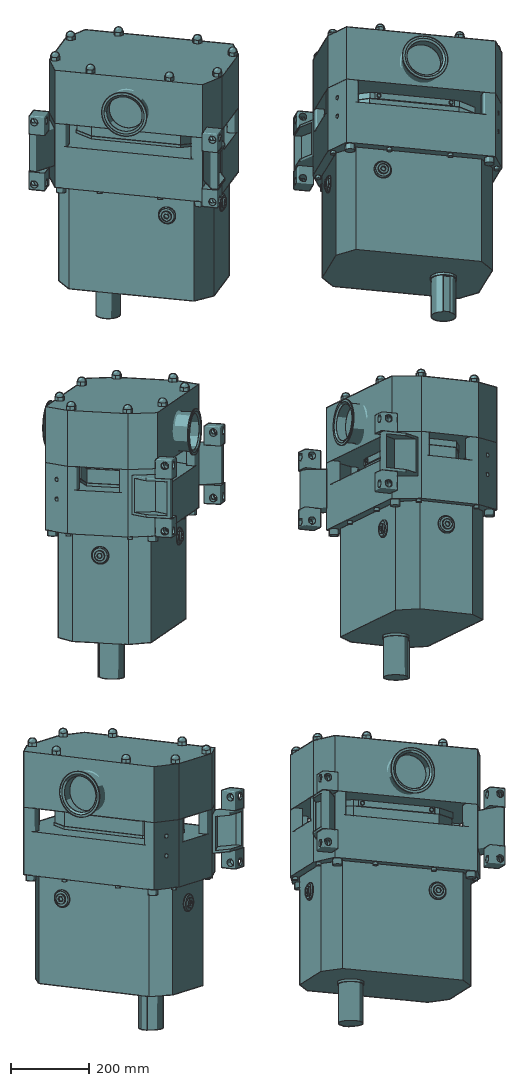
import cadquery as cq
import math


gearbox_bottom = 109.0
frame_bottom = 394.0
window_sill = 508.5
head_bottom = 570.0
head_top = 715.5
total_height = 736.0

body_half_x = 229.0
body_half_y = 149.0
body_flat_x = 196.0
body_flat_y = 80.0
chamfer_length = math.hypot(body_half_x - body_flat_x, body_half_y - body_flat_y)
chamfer_normal_x = (body_half_y - body_flat_y) / chamfer_length
chamfer_normal_y = (body_half_x - body_flat_x) / chamfer_length

port_height = 631.0
port_end = 194.0
port_radius = 51.0
port_bore_radius = 47.0
port_bore_depth = 29.5
port_mouth_radius = 53.0
port_mouth_depth = 4.0
port_root_fillet = 6.0
port_flange_radius = 59.5
port_flange_rim = 3.0
port_flange_taper = 4.0

nut_corner_diameter = 25.0
nut_hex_height = 9.5
nut_dome_radius = total_height - head_top - nut_hex_height
end_row_x = 215.0
side_row_y = 137.0
cap_nut_places = [(104.5, side_row_y), (end_row_x, 75.0)]

frame_wall = 23.5
window_half_x = 163.5
window_half_y = 55.0
window_rounding = 7.0
jamb_search = 1.0
core_half_x = 165.0
core_half_y = 76.5
core_flat_x = 118.0
core_flat_y = 47.0
core_step = 2.0
plinth_height = 7.0
core_cap_height = 16.0
pad_half_x = 104.5
pad_thickness = 2.0
pad_screw_x = 95.0
pad_screw_radius = 5.0
pad_screw_length = 4.0

corner_bolt_place = (183.0, 133.0)
corner_bolt_radius = 12.5
corner_bolt_length = 15.5
small_bolt_places = [(80.0, side_row_y), (end_row_x, 82.0)]
small_bolt_radius = 6.5
small_bolt_length = 7.0
mount_hole_heights = (479.0, 531.0)
mount_hole_radius = 5.0
mount_hole_depth = 15.0

gearbox_half_x = 206.0
gearbox_half_y = 124.0
gearbox_flat_x = 165.5
gearbox_flat_y = 74.0
shaft_x = -95.0
shaft_radius = 32.0
seal_radius = 34.0
seal_length = 6.5
key_width = 18.0
key_top = 98.5
key_projection = 3.0

plug_height = 338.0
plug_x = 95.0
plug_radius = 23.0
plug_flange_thickness = 5.0
plug_chamfer = 3.0
plug_boss_radius = 13.0
plug_projection = 9.5
plug_socket_diameter = 14.0
plug_socket_depth = 4.5

bracket_middle = 503.5
bracket_height = 103.0
bracket_span = 501.0
bracket_outer_x = bracket_span / 2
bracket_tip_y = -89.0
bracket_shoulder_y = -134.0
bracket_heel_y = -146.5
bracket_front_y = -199.5
bracket_toe_x = 231.0
bracket_lip_y = -189.0
bracket_plate = 7.0
bracket_front_rounding = 4.5
bracket_edge_rounding = 2.0
block_width = 43.0
block_back_y = -157.5
block_front_y = -203.0
block_height = 50.0
block_rounding = 4.0
block_hole_radius = 9.5
block_hole_x = 236.0
block_hole_y = -183.0
block_hole_rise = 85.5


def octagon_prism(half_x, half_y, flat_x, flat_y, bottom, top):
    """Upright prism with a chamfered rectangle as its outline."""
    corner = [(half_x, flat_y), (flat_x, half_y)]
    points = corner + [(-x, y) for x, y in reversed(corner)]
    points += [(-x, -y) for x, y in points]
    return cq.Workplane("XY").workplane(offset=bottom).polyline(points).close().extrude(top - bottom)


def four_corners(places):
    """Repeat places of the first quadrant in all four quadrants."""
    return [(sx * x, sy * y) for x, y in places for sx in (1, -1) for sy in (1, -1)]


def box_between(low, high):
    sizes = [b - a for a, b in zip(low, high)]
    return cq.Workplane("XY").box(*sizes, centered=False).translate(low)


def spin_about_y(profile):
    """Solid of revolution about the Y axis from a closed profile in the XY plane."""
    return profile.close().revolve(360, (0, 0, 0), (0, 1, 0))


def port():
    """Clamp-flanged pipe stub pointing toward +Y, centred on the Y axis."""
    rim_start = port_end - port_flange_rim
    root_sag = port_root_fillet * (1 - math.sqrt(0.5))
    profile = (
        cq.Workplane("XY")
        .moveTo(0, body_half_y)
        .lineTo(port_radius + port_root_fillet, body_half_y)
        .threePointArc(
            (port_radius + root_sag, body_half_y + root_sag),
            (port_radius, body_half_y + port_root_fillet),
        )
        .lineTo(port_radius, rim_start - port_flange_taper)
        .lineTo(port_flange_radius, rim_start)
        .lineTo(port_flange_radius, port_end)
        .lineTo(port_mouth_radius, port_end)
        .lineTo(port_bore_radius, port_end - port_mouth_depth)
        .lineTo(port_bore_radius, port_end - port_bore_depth)
        .lineTo(0, port_end - port_bore_depth)
    )
    return spin_about_y(profile)


def cap_nuts():
    nuts = (
        cq.Workplane("XY").workplane(offset=head_top)
        .pushPoints(four_corners(cap_nut_places)).polygon(6, nut_corner_diameter).extrude(nut_hex_height)
    )
    for x, y in four_corners(cap_nut_places):
        dome = cq.Workplane("XY").sphere(nut_dome_radius, angle1=0)
        nuts = nuts.union(dome.translate((x, y, head_top + nut_hex_height)))
    return nuts


def make_head():
    head = octagon_prism(body_half_x, body_half_y, body_flat_x, body_flat_y, head_bottom, head_top)
    for angle in (0, 180):
        head = head.union(port().rotate((0, 0, 0), (0, 0, 1), angle).translate((0, 0, port_height)))
    return head.union(cap_nuts())


def frame_shell():
    """Hollow frame, open at the top, with a window in each of its four sides."""
    shell = octagon_prism(body_half_x, body_half_y, body_flat_x, body_flat_y, frame_bottom, head_bottom)
    flat_shift_x = frame_wall * (1 - chamfer_normal_y) / chamfer_normal_x
    flat_shift_y = frame_wall * (1 - chamfer_normal_x) / chamfer_normal_y
    cavity = octagon_prism(
        body_half_x - frame_wall, body_half_y - frame_wall,
        body_flat_x - flat_shift_x, body_flat_y - flat_shift_y,
        window_sill, head_bottom,
    )
    front_window = box_between(
        (-window_half_x, -body_half_y, window_sill), (window_half_x, body_half_y, head_bottom)
    )
    side_window = box_between(
        (-body_half_x, -window_half_y, window_sill), (body_half_x, window_half_y, head_bottom)
    )
    shell = shell.cut(cavity).cut(front_window).cut(side_window)
    for x, y in four_corners([(window_half_x, body_half_y), (body_half_x, window_half_y)]):
        jamb = cq.selectors.BoxSelector(
            (x - jamb_search, y - jamb_search, window_sill), (x + jamb_search, y + jamb_search, head_bottom)
        )
        shell = shell.edges("|Z").edges(jamb).fillet(window_rounding)
    return shell


def core_layer(step, bottom, top):
    return octagon_prism(
        core_half_x + step, core_half_y + step, core_flat_x, core_flat_y, bottom, top
    )


def frame_core():
    """Stepped block inside the frame, with a screwed pad on its front and back."""
    cap_bottom = head_bottom - core_cap_height
    core = core_layer(0, window_sill, head_bottom)
    core = core.union(core_layer(core_step, window_sill, window_sill + plinth_height))
    core = core.union(core_layer(core_step, cap_bottom, head_bottom))
    pad_y = core_half_y + core_step + pad_thickness
    core = core.union(box_between((-pad_half_x, -pad_y, cap_bottom), (pad_half_x, pad_y, head_bottom)))
    screw_reach = pad_y + pad_screw_length
    for x in (-pad_screw_x, pad_screw_x):
        screw = (
            cq.Workplane("XZ").center(x, head_bottom - core_cap_height / 2)
            .circle(pad_screw_radius).extrude(screw_reach, both=True)
        )
        core = core.union(screw)
    return core


def bolts_below(places, radius, length):
    """Bolt heads hanging under the frame."""
    return (
        cq.Workplane("XY").workplane(offset=frame_bottom)
        .pushPoints(four_corners(places)).circle(radius).extrude(-length)
    )


def mount_holes():
    """Spare bracket holes in the two rear chamfers."""
    chamfer_x = (body_half_x + body_flat_x) / 2
    chamfer_y = (body_half_y + body_flat_y) / 2
    holes = cq.Workplane("XY")
    for side in (1, -1):
        for z in mount_hole_heights:
            inward = cq.Vector(-side * chamfer_normal_x, -chamfer_normal_y, 0)
            start = cq.Vector(side * chamfer_x, chamfer_y, z)
            holes = holes.add(cq.Solid.makeCylinder(mount_hole_radius, mount_hole_depth, start, inward))
    return holes.combine()


def make_frame():
    frame = frame_shell().union(frame_core())
    frame = frame.union(bolts_below([corner_bolt_place], corner_bolt_radius, corner_bolt_length))
    frame = frame.union(bolts_below(small_bolt_places, small_bolt_radius, small_bolt_length))
    return frame.cut(mount_holes())


def oil_plug():
    """Plug pointing toward +Y, seated on the plane Y = 0."""
    profile = cq.Workplane("XY").polyline([
        (0, 0),
        (plug_radius, 0),
        (plug_radius, plug_flange_thickness - plug_chamfer),
        (plug_radius - plug_chamfer, plug_flange_thickness),
        (plug_boss_radius, plug_flange_thickness),
        (plug_boss_radius, plug_projection),
        (0, plug_projection),
    ])
    plug = spin_about_y(profile)
    socket = (
        cq.Workplane("XZ").workplane(offset=-plug_projection)
        .polygon(6, plug_socket_diameter).extrude(plug_socket_depth)
    )
    return plug.cut(socket)


def drive_shaft():
    shaft = cq.Workplane("XY").center(shaft_x, 0).circle(shaft_radius).extrude(gearbox_bottom)
    seal = (
        cq.Workplane("XY").workplane(offset=gearbox_bottom).center(shaft_x, 0)
        .circle(seal_radius).extrude(-seal_length)
    )
    key = box_between(
        (shaft_x - key_width / 2, 0, 0),
        (shaft_x + key_width / 2, shaft_radius + key_projection, key_top),
    )
    return shaft.union(seal).union(key)


def make_gearbox():
    gearbox = octagon_prism(
        gearbox_half_x, gearbox_half_y, gearbox_flat_x, gearbox_flat_y, gearbox_bottom, frame_bottom
    )
    gearbox = gearbox.union(drive_shaft())
    plug_seats = [
        (0, plug_x, gearbox_half_y),
        (180, plug_x, -gearbox_half_y),
        (90, -gearbox_half_x, 0),
        (-90, gearbox_half_x, 0),
    ]
    for angle, x, y in plug_seats:
        plug = oil_plug().rotate((0, 0, 0), (0, 0, 1), angle)
        gearbox = gearbox.union(plug.translate((x, y, plug_height)))
    return gearbox


def chamfer_x_at(y):
    """X of the front right chamfer of the frame at a given Y."""
    run = (body_half_x - body_flat_x) / (body_half_y - body_flat_y)
    return body_half_x - (-y - body_flat_y) * run


def bracket_gusset():
    """V-shaped web between two end plates, open on the outer side."""
    tip = (chamfer_x_at(bracket_tip_y), bracket_tip_y)
    heel = (chamfer_x_at(bracket_heel_y), bracket_heel_y)
    toe = (bracket_toe_x, bracket_front_y)
    outline = [
        tip,
        (bracket_outer_x, bracket_shoulder_y),
        (bracket_outer_x, bracket_front_y),
        toe,
        heel,
    ]
    web_run = (toe[0] - heel[0]) / (heel[1] - toe[1])
    base_run = (tip[0] - heel[0]) / (tip[1] - heel[1])
    web_shift = bracket_plate * math.hypot(1, web_run)
    base_shift = bracket_plate * math.hypot(1, base_run)
    corner_y = heel[1] + (web_shift - base_shift) / (base_run + web_run)
    corner_x = heel[0] + base_shift + (corner_y - heel[1]) * base_run
    lip_x = heel[0] + web_shift + (heel[1] - bracket_lip_y) * web_run
    pocket_outer_x = bracket_outer_x + bracket_plate
    pocket = [
        (corner_x, corner_y),
        (lip_x, bracket_lip_y),
        (pocket_outer_x, bracket_lip_y),
        (pocket_outer_x, bracket_tip_y),
        (tip[0] + base_shift, bracket_tip_y),
    ]
    pocket_height = bracket_height - 2 * bracket_plate
    gusset = cq.Workplane("XY").polyline(outline).close().extrude(bracket_height / 2, both=True)
    gusset = gusset.edges("|Z and <Y").fillet(bracket_front_rounding)
    gusset = gusset.faces("<Z or >Z").edges().fillet(bracket_edge_rounding)
    hollow = cq.Workplane("XY").polyline(pocket).close().extrude(pocket_height / 2, both=True)
    return gusset.cut(hollow)


def bracket_block():
    """Rounded end block with crossing holes, standing on top of the gusset."""
    bottom = bracket_height / 2
    block = box_between(
        (bracket_outer_x - block_width, block_front_y, bottom),
        (bracket_outer_x, block_back_y, bottom + block_height),
    )
    block = block.edges("not <Z").fillet(block_rounding)
    hole_along_y = (
        cq.Workplane("XZ").center(block_hole_x, block_hole_rise)
        .circle(block_hole_radius).extrude(-block_front_y * 2)
    )
    hole_along_x = (
        cq.Workplane("YZ").center(block_hole_y, block_hole_rise)
        .circle(block_hole_radius).extrude(bracket_outer_x * 2)
    )
    return block.cut(hole_along_y).cut(hole_along_x)


def make_bracket(side):
    """Bracket on the front chamfer of the frame, on the +X or -X side."""
    upper_block = bracket_block()
    bracket = bracket_gusset().union(upper_block).union(upper_block.mirror("XY"))
    if side < 0:
        bracket = bracket.mirror("YZ")
    return bracket.translate((0, 0, bracket_middle))


head = make_head()
frame = make_frame()
gearbox = make_gearbox()
brackets = [make_bracket(side) for side in (1, -1)]

result = cq.Compound.makeCompound(
    [head.val(), frame.val(), gearbox.val(), *[bracket.val() for bracket in brackets]]
)